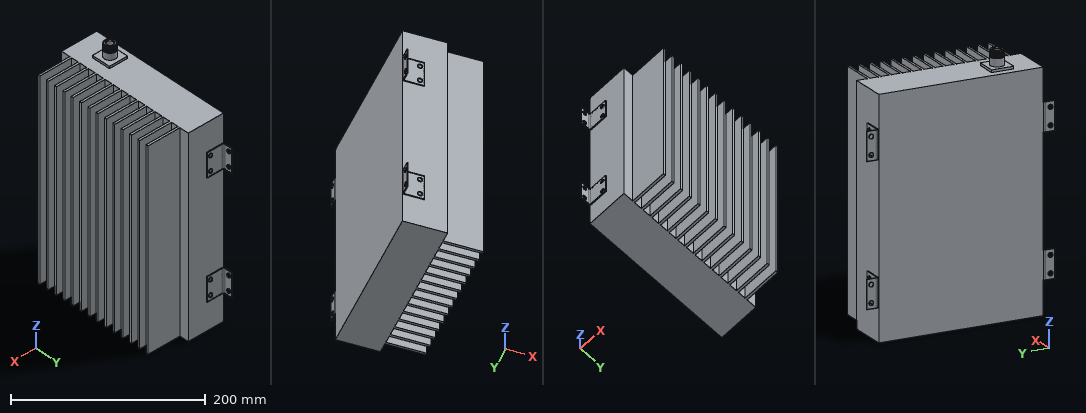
import cadquery as cq


TOTAL_DEPTH = 95.0
TOTAL_WIDTH = 217.0
TOTAL_HEIGHT = 290.0

BOX_DEPTH = 50.0
BOX_WIDTH = 190.3
BOX_HEIGHT = 270.0
FIN_COUNT = 14
FIN_PITCH = 12.5
FIN_THICKNESS = 3.0
FIN_LENGTH = TOTAL_DEPTH - BOX_DEPTH

SHEET = 1.2
BEND_OUTER_RADIUS = 2.3
BEND_INNER_RADIUS = BEND_OUTER_RADIUS - SHEET
BRACKET_HEIGHT = 32.8
BRACKET_SPACING = 160.7
LEG_LENGTH = 24.0
FLANGE_LENGTH = (TOTAL_WIDTH - BOX_WIDTH) / 2
HOLE_DIAMETER = 5.2
HOLE_SPACING = 20.0
HOLE_EDGE_DISTANCE = 5.0

CONNECTOR_X = 21.5
CONNECTOR_Y = -52.5
PLATE_SIDE = 25.5
PLATE_THICKNESS = 3.0
CONNECTOR_HEIGHT = TOTAL_HEIGHT - BOX_HEIGHT
BARREL_RADIUS = 7.8
BARREL_TOP = 12.0
THREAD_ROOT_RADIUS = 7.3
THREAD_PITCH = 1.05
THREAD_COUNT = 6
RIM_CHAMFER = 0.5
BORE_RADIUS = 4.0
BORE_DEPTH = 8.7
BORE_CHAMFER = 1.0
PIN_RADIUS = 1.5
PIN_HOLE_RADIUS = 0.73
PIN_RECESS = 5.8


def make_housing():
    """Plain box with full-height fins on its +X face."""
    box = cq.Workplane("XY").box(BOX_DEPTH, BOX_WIDTH, BOX_HEIGHT, centered=(False, True, False))
    fins = (
        cq.Workplane("XY")
        .rarray(3, FIN_PITCH, 1, FIN_COUNT)
        .rect(FIN_LENGTH, FIN_THICKNESS)
        .extrude(BOX_HEIGHT)
        .translate((BOX_DEPTH + FIN_LENGTH / 2, 0, 0))
    )
    return box.union(fins)


def make_bracket(side, center_z):
    """Bent angle on the +Y (side = 1) or -Y (side = -1) wall, with two holes in each arm."""
    profile = (
        cq.Workplane("XY")
        .polyline([
            (0, 0),
            (LEG_LENGTH, 0),
            (LEG_LENGTH, SHEET),
            (SHEET, SHEET),
            (SHEET, FLANGE_LENGTH),
            (0, FLANGE_LENGTH),
        ])
        .close()
        .extrude(BRACKET_HEIGHT / 2, both=True)
    )
    angle = (
        profile
        .edges(cq.selectors.NearestToPointSelector((0, 0, 0)))
        .fillet(BEND_OUTER_RADIUS)
        .edges(cq.selectors.NearestToPointSelector((SHEET, SHEET, 0)))
        .fillet(BEND_INNER_RADIUS)
    )
    leg_holes = (
        cq.Workplane("XZ")
        .center(LEG_LENGTH - HOLE_EDGE_DISTANCE, 0)
        .rarray(3, HOLE_SPACING, 1, 2)
        .circle(HOLE_DIAMETER / 2)
        .extrude(-SHEET)
    )
    flange_holes = (
        cq.Workplane("YZ")
        .center(FLANGE_LENGTH - HOLE_EDGE_DISTANCE, 0)
        .rarray(3, HOLE_SPACING, 1, 2)
        .circle(HOLE_DIAMETER / 2)
        .extrude(SHEET)
    )
    bracket = angle.cut(leg_holes).cut(flange_holes).translate((0, BOX_WIDTH / 2, center_z))
    if side < 0:
        bracket = bracket.mirror("XZ")
    return bracket


def make_connector():
    """Square plate carrying a threaded barrel whose bore holds a hollow centre pin."""
    plate = cq.Workplane("XY").box(PLATE_SIDE, PLATE_SIDE, PLATE_THICKNESS, centered=(True, True, False))

    section = (
        cq.Workplane("XZ")
        .lineTo(BARREL_RADIUS, 0)
        .lineTo(BARREL_RADIUS, BARREL_TOP)
        .lineTo(THREAD_ROOT_RADIUS, BARREL_TOP)
    )
    for ridge in range(THREAD_COUNT):
        ridge_base = BARREL_TOP + ridge * THREAD_PITCH
        section = (
            section
            .lineTo(BARREL_RADIUS, ridge_base + THREAD_PITCH / 2)
            .lineTo(THREAD_ROOT_RADIUS, ridge_base + THREAD_PITCH)
        )
    barrel = (
        section
        .lineTo(THREAD_ROOT_RADIUS, CONNECTOR_HEIGHT - RIM_CHAMFER)
        .lineTo(THREAD_ROOT_RADIUS - RIM_CHAMFER, CONNECTOR_HEIGHT)
        .lineTo(0, CONNECTOR_HEIGHT)
        .close()
        .revolve(360, (0, 0, 0), (0, 1, 0))
    )

    bore = (
        cq.Workplane("XY")
        .workplane(offset=CONNECTOR_HEIGHT - BORE_DEPTH)
        .circle(BORE_RADIUS)
        .extrude(BORE_DEPTH)
    )
    pin = (
        cq.Workplane("XY")
        .workplane(offset=CONNECTOR_HEIGHT - BORE_DEPTH)
        .circle(PIN_RADIUS)
        .circle(PIN_HOLE_RADIUS)
        .extrude(BORE_DEPTH - PIN_RECESS)
    )
    bore_mouth = cq.Workplane(
        cq.Solid.makeCone(
            BORE_RADIUS,
            BORE_RADIUS + BORE_CHAMFER,
            BORE_CHAMFER,
            pnt=cq.Vector(0, 0, CONNECTOR_HEIGHT - BORE_CHAMFER),
        )
    )
    connector = plate.union(barrel).cut(bore).cut(bore_mouth).union(pin)
    return connector.translate((CONNECTOR_X, CONNECTOR_Y, BOX_HEIGHT))


housing = make_housing()
connector = make_connector()
brackets = [
    make_bracket(side, BOX_HEIGHT / 2 + level * BRACKET_SPACING / 2)
    for side in (-1, 1)
    for level in (-1, 1)
]

result = cq.Compound.makeCompound([
    housing.val(),
    connector.val(),
    *[bracket.val() for bracket in brackets],
])